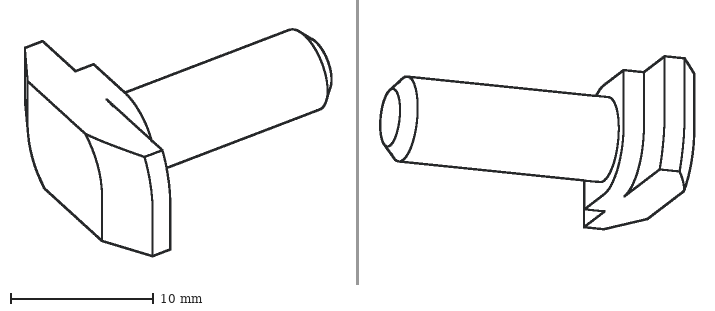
import cadquery as cq
import math

total_length = 21.0
head_width = 16.5
head_height = 8.0
taper_depth = 2.0
taper_angle = 60.0
rim_thickness = 1.5
collar_thickness = 1.51
shank_diameter = 6.0
tip_chamfer = 0.97

half_width = head_width / 2
half_height = head_height / 2
face_half_width = half_width - taper_depth * math.tan(math.radians(taper_angle))
rim_end = taper_depth + rim_thickness
collar_end = rim_end + collar_thickness

head_profile = [
    (0, 0),
    (face_half_width, 0),
    (half_width, taper_depth),
    (half_width, rim_end),
    (0, rim_end),
]


def quadrant(side_x, side_z):
    """Block filling one head quadrant, with sides given as +1 or -1."""
    return (
        cq.Workplane("XY")
        .box(half_width, collar_end, half_height)
        .translate((side_x * half_width / 2, collar_end / 2, side_z * half_height / 2))
    )


def square_quarter(side_x, side_z):
    """Flat-sided head quarter with its square collar corner."""
    profile = [(side_x * x, y) for x, y in head_profile]
    head = cq.Workplane("XY").polyline(profile).close().extrude(side_z * half_height)
    collar = (
        cq.Workplane("XY")
        .moveTo(0, rim_end)
        .lineTo(side_x * half_height, rim_end)
        .lineTo(side_x * half_height, collar_end)
        .lineTo(0, collar_end)
        .close()
        .extrude(side_z * half_height)
    )
    return head.union(collar)


def round_quarter(side_x, side_z):
    """Conical head quarter with its round collar, letting the head turn in a slot."""
    collar_profile = [
        (0, rim_end),
        (half_height, rim_end),
        (half_height, collar_end),
        (0, collar_end),
    ]
    head = cq.Workplane("XY").polyline(head_profile).close().revolve(360, (0, 0), (0, 1))
    collar = cq.Workplane("XY").polyline(collar_profile).close().revolve(360, (0, 0), (0, 1))
    return head.union(collar).intersect(quadrant(side_x, side_z))


shank = (
    cq.Workplane("XZ", origin=(0, rim_end, 0))
    .circle(shank_diameter / 2)
    .extrude(-(total_length - rim_end))
    .faces(">Y")
    .chamfer(tip_chamfer)
)

result = shank
for side in (1, -1):
    result = result.union(square_quarter(side, -side))
    result = result.union(round_quarter(side, side))
result = result.clean()